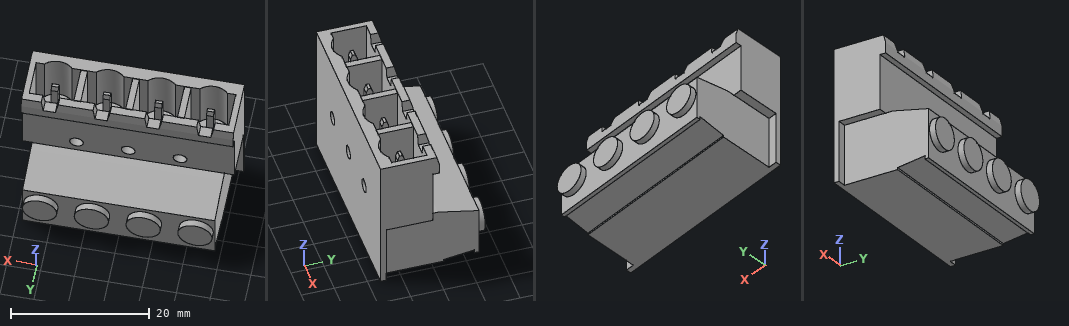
import cadquery as cq

width = 31.22
height = 21.75
housing_depth = 7.93
plate_thickness = 0.9

contact_count = 4
pitch = 7.62
contact_xs = [(i - (contact_count - 1) / 2) * pitch for i in range(contact_count)]
partition_xs = [(a + b) / 2 for a, b in zip(contact_xs, contact_xs[1:])]

lip_depth = 8.9
lip_bottom = 18.67
lip_bevel_bottom = 20.4
lip_bevel_inset = 0.37

body_width = 28.32
body_top = 9.77
body_back = 15.35
roof_slope_start = 9.18
roof_slope_end_z = 8.43
underside_step_y = 10.02
underside_step_z = 0.3
underside_notch_z = 0.95
foot_front = 14.7
foot_bottom = 0.4

button_diameter = 5.03
button_z = 5.25
back_end = 16.4

cavity_half_width = 14.67
cavity_front = 1.97
cavity_back = 7.3
cavity_floor = 13.1
partition_thickness = 1.0
partition_drop = 0.12
bulge_half_width = 2.03
bulge_depth = 0.8

notch_top_width = 2.5
notch_floor_width = 1.78
notch_depth = 1.55

pin_size = 1.03
pin_y = 4.25
pin_tip_z = 20.1
pin_tip_thickness = 0.45
pin_taper_height = 0.75

hole_diameter = 2.0
hole_z = 11.77


def extrude_along_x(points, length):
    """Extrude a closed (y, z) outline by the given length, centred on x = 0."""
    return cq.Workplane("YZ").polyline(points).close().extrude(length / 2, both=True)


def make_housing():
    outline = [
        (0, body_top),
        (housing_depth, body_top),
        (housing_depth, lip_bottom),
        (lip_depth, lip_bottom),
        (lip_depth, lip_bevel_bottom),
        (lip_depth - lip_bevel_inset, height),
        (0, height),
    ]
    plate = cq.Workplane("XY").box(
        width, plate_thickness, height, centered=(True, False, False)
    )
    return extrude_along_x(outline, width).union(plate)


def make_terminal_body():
    outline = [
        (0, 0),
        (underside_step_y, 0),
        (underside_step_y, underside_step_z),
        (foot_front, underside_notch_z),
        (foot_front, foot_bottom),
        (body_back, foot_bottom),
        (body_back, roof_slope_end_z),
        (roof_slope_start, body_top),
        (0, body_top),
    ]
    return extrude_along_x(outline, body_width)


def make_buttons():
    return (
        cq.Workplane("XZ", origin=(0, body_back, 0))
        .pushPoints([(x, button_z) for x in contact_xs])
        .circle(button_diameter / 2)
        .extrude(body_back - back_end)
    )


def make_socket(x, left, right):
    """Socket space from left to right, with a round bulge toward the front at x."""
    return (
        cq.Workplane("XY", origin=(0, 0, cavity_floor))
        .moveTo(left, cavity_back)
        .lineTo(left, cavity_front)
        .lineTo(x - bulge_half_width, cavity_front)
        .threePointArc(
            (x, cavity_front - bulge_depth), (x + bulge_half_width, cavity_front)
        )
        .lineTo(right, cavity_front)
        .lineTo(right, cavity_back)
        .close()
        .extrude(height - cavity_floor)
    )


def make_partition_recess():
    """Shallow space that leaves the partitions slightly below the outer rim."""
    return cq.Workplane("XY", origin=(0, cavity_front, height - partition_drop)).box(
        2 * cavity_half_width,
        cavity_back - cavity_front,
        partition_drop,
        centered=(True, False, False),
    )


def make_notch(x):
    half_top = notch_top_width / 2
    half_floor = notch_floor_width / 2
    floor_z = height - notch_depth
    return (
        cq.Workplane("XZ", origin=(0, cavity_back, 0))
        .polyline(
            [
                (x - half_top, height),
                (x - half_floor, floor_z),
                (x + half_floor, floor_z),
                (x + half_top, height),
            ]
        )
        .close()
        .extrude(cavity_back - lip_depth)
    )


def make_pin(x):
    half = pin_size / 2
    half_tip = pin_tip_thickness / 2
    shoulder_z = pin_tip_z - pin_taper_height
    outline = [
        (pin_y - half, cavity_floor),
        (pin_y - half, shoulder_z),
        (pin_y - half_tip, pin_tip_z),
        (pin_y + half_tip, pin_tip_z),
        (pin_y + half, shoulder_z),
        (pin_y + half, cavity_floor),
    ]
    return extrude_along_x(outline, pin_size).translate((x, 0, 0))


def make_through_holes():
    return (
        cq.Workplane("XZ")
        .pushPoints([(x, hole_z) for x in partition_xs])
        .circle(hole_diameter / 2)
        .extrude(-housing_depth)
    )


result = make_housing().union(make_terminal_body()).union(make_buttons())

left_walls = [-cavity_half_width] + [x + partition_thickness / 2 for x in partition_xs]
right_walls = [x - partition_thickness / 2 for x in partition_xs] + [cavity_half_width]
for contact_x, left_wall, right_wall in zip(contact_xs, left_walls, right_walls):
    result = result.cut(make_socket(contact_x, left_wall, right_wall))
    result = result.cut(make_notch(contact_x))
    result = result.union(make_pin(contact_x))

result = result.cut(make_partition_recess()).cut(make_through_holes())